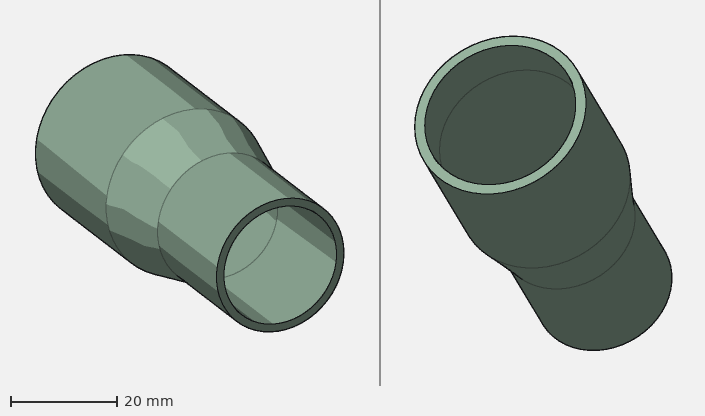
import cadquery as cq

total_length = 70.0
large_length = 30.0
taper_length = 15.0
large_outer_diameter = 33.7
large_inner_diameter = 29.7
small_outer_diameter = 26.9
small_inner_diameter = 23.7

taper_start = large_length
taper_end = taper_start + taper_length

socket_depth = 10.0


def stepped_solid(large_diameter, small_diameter, cone_start, cone_end):
    """Solid of revolution about X: large cylinder, cone, small cylinder."""
    large_radius = large_diameter / 2
    small_radius = small_diameter / 2
    return (
        cq.Workplane("XY")
        .moveTo(0, 0)
        .lineTo(0, large_radius)
        .lineTo(cone_start, large_radius)
        .lineTo(cone_end, small_radius)
        .lineTo(total_length, small_radius)
        .lineTo(total_length, 0)
        .close()
        .revolve(360, (0, 0, 0), (1, 0, 0))
    )


body = stepped_solid(large_outer_diameter, small_outer_diameter, taper_start, taper_end)
bore = stepped_solid(large_inner_diameter, small_inner_diameter, socket_depth, taper_end)

result = body.cut(bore)